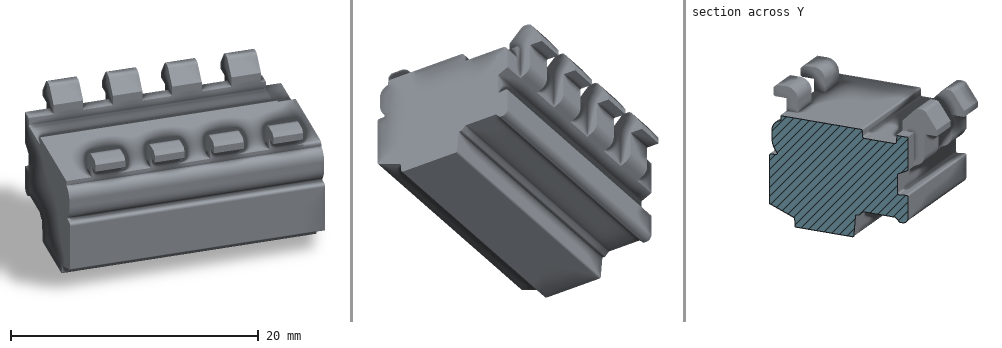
import cadquery as cq
import math

length = 21.5
height = 11.5
body_top = 9.41
end_cap_length = 1.5

pair_count = 4
pair_pitch = 5.0
pair_width = 2.5
first_pair_y = 2.1

right_face_x = 12.5
top_right_x = 11.46
groove_left_x = 1.03
groove_left_foot_x = 1.08
groove_right_x = 4.1
groove_floor_z = 8.68
groove_round = 0.15
waist_x = 0.95
upper_lip_z = 6.52
upper_lip_inner_z = 6.07
lower_lip_z = 4.42
lower_lip_inner_z = 4.31
lip_bottom_z = 1.94
lip_round = 0.5
lip_bottom_end_x = 0.76
underside_z = 2.31
rib_start_x = 4.07
rib_slope = underside_z - lip_bottom_z
foot_left_x = 4.7
foot_left_bottom_x = 4.87
foot_right_x = 10.22
foot_right_bottom_x = 10.2
foot_right_top_z = 0.78
ramp_top_z = 1.66
shoulder_z = 5.99
shoulder_round = 0.24
edge_round = 0.15
small_round = 0.08

bulge_center_x = 11.26
bulge_center_z = 8.0
bulge_radius = 1.0
bulge_flat_end_z = 7.3
bulge_lower_radius = 1.64
bulge_end_z = 6.15

cap_floor_z = 8.62
cap_lip_round = 0.5
cap_step_round = 0.4
cap_right_round = 0.22

catch_tip_x = -2.04
catch_tip_z = 9.93
crown_left_x = -0.92
crown_right_x = -0.19
crown_round = 0.47
catch_back_z = 10.28
stem_x = -0.94
stem_round = 0.94

hook_left_x = 10.45
hook_thickness = top_right_x - hook_left_x
hook_tip_x = 12.66
hook_tip_chamfer = 0.28
hook_tip_lower_chamfer = 0.12


def rounded_outline(corners):
    """Closed XZ outline through (x, z, radius) corners, each rounded by a tangent arc."""
    outline = None
    for index, (x, z, radius) in enumerate(corners):
        before = corners[index - 1]
        after = corners[(index + 1) % len(corners)]
        corner = cq.Vector(x, z, 0)
        to_before = (cq.Vector(before[0], before[1], 0) - corner).normalized()
        to_after = (cq.Vector(after[0], after[1], 0) - corner).normalized()
        half_angle = to_before.getAngle(to_after) / 2
        setback = radius / math.tan(half_angle)
        start = corner + to_before * setback
        end = corner + to_after * setback
        sagitta_gap = radius / math.sin(half_angle) - radius
        middle = corner + (to_before + to_after).normalized() * sagitta_gap
        if outline is None:
            outline = cq.Workplane("XZ").moveTo(start.x, start.y)
        else:
            outline = outline.lineTo(start.x, start.y)
        if radius > 0:
            outline = outline.threePointArc((middle.x, middle.y), (end.x, end.y))
    return outline.close()


def extrude_along_y(outline, start_y, depth):
    """Extrude an XZ outline toward +Y, starting at start_y."""
    return outline.extrude(-depth).translate((0, start_y, 0))


def lower_corners(upper_lip_round, top_right_round):
    """Corners shared by body and end cap, from the upper lip round to the top right."""
    return [
        (0, upper_lip_z, upper_lip_round),
        (waist_x, upper_lip_inner_z, edge_round),
        (waist_x, lower_lip_inner_z, edge_round),
        (0, lower_lip_z, edge_round),
        (0, lip_bottom_z, lip_round),
        (lip_bottom_end_x, lip_bottom_z, small_round),
        (lip_bottom_end_x + rib_slope, underside_z, edge_round),
        (rib_start_x, underside_z, small_round),
        (rib_start_x + rib_slope, lip_bottom_z, small_round),
        (foot_left_x, lip_bottom_z, 0),
        (foot_left_bottom_x, 0, edge_round),
        (foot_right_bottom_x, 0, edge_round),
        (foot_right_x, foot_right_top_z, edge_round),
        (right_face_x, ramp_top_z, edge_round),
        (right_face_x, shoulder_z, shoulder_round),
        (top_right_x, shoulder_z, 0),
        (top_right_x, body_top, top_right_round),
    ]


def make_body():
    groove = [
        (groove_right_x, body_top, groove_round),
        (groove_right_x, groove_floor_z, groove_round),
        (groove_left_foot_x, groove_floor_z, groove_round),
        (groove_left_x, body_top, 0),
        (0, body_top, 0),
    ]
    outline = rounded_outline(lower_corners(0, 0) + groove)
    return extrude_along_y(outline, 0, length - end_cap_length)


def make_end_cap():
    """The back end has no raised lip beside the groove and larger edge rounds."""
    step = [
        (groove_right_x, body_top, cap_step_round),
        (groove_right_x, cap_floor_z, 0),
        (0, cap_floor_z, cap_lip_round),
    ]
    outline = rounded_outline(lower_corners(small_round, cap_right_round) + step)
    return extrude_along_y(outline, length - end_cap_length, end_cap_length)


def make_bulge():
    right_x = bulge_center_x + bulge_radius
    diagonal = bulge_radius * math.sqrt(0.5)
    lower_center_x = right_x - bulge_lower_radius
    drop_angle = math.asin((bulge_flat_end_z - bulge_end_z) / bulge_lower_radius)

    def lower_arc_point(angle):
        x = lower_center_x + bulge_lower_radius * math.cos(angle)
        z = bulge_flat_end_z - bulge_lower_radius * math.sin(angle)
        return (x, z)

    lower_end = lower_arc_point(drop_angle)
    notch_middle = (lower_end[0] + small_round / 4, shoulder_z + small_round / 2)
    notch_end = (lower_end[0] + small_round, shoulder_z)
    outline = (
        cq.Workplane("XZ")
        .moveTo(bulge_center_x, bulge_center_z + bulge_radius)
        .threePointArc(
            (bulge_center_x + diagonal, bulge_center_z + diagonal),
            (right_x, bulge_center_z),
        )
        .lineTo(right_x, bulge_flat_end_z)
        .threePointArc(lower_arc_point(drop_angle / 2), lower_end)
        .threePointArc(notch_middle, notch_end)
        .lineTo(bulge_center_x, shoulder_z)
        .close()
    )
    return extrude_along_y(outline, 0, length)


def make_catch(start_y):
    head_outline = rounded_outline([
        (catch_tip_x, body_top, 0),
        (catch_tip_x, catch_tip_z, 0),
        (crown_left_x, height, crown_round),
        (crown_right_x, height, crown_round),
        (groove_left_x, catch_back_z, 0),
        (groove_left_x, body_top, 0),
    ])
    head = extrude_along_y(head_outline, start_y, pair_width)
    lip_slope = (upper_lip_z - upper_lip_inner_z) / waist_x
    stem_foot_z = upper_lip_z - lip_slope * stem_x
    overlap_x = groove_left_x / 2
    stem_outline = rounded_outline([
        (stem_x, body_top, 0),
        (stem_x, stem_foot_z, stem_round),
        (overlap_x, upper_lip_z - lip_slope * overlap_x, 0),
        (overlap_x, body_top, 0),
    ])
    return head.union(extrude_along_y(stem_outline, start_y, pair_width))


def make_hook(start_y):
    underside = height - hook_thickness
    diagonal = hook_thickness * math.sqrt(0.5)
    outline = (
        cq.Workplane("XZ")
        .moveTo(hook_left_x, body_top)
        .lineTo(hook_left_x, underside)
        .threePointArc((top_right_x - diagonal, underside + diagonal), (top_right_x, height))
        .lineTo(hook_tip_x - hook_tip_chamfer, height)
        .lineTo(hook_tip_x, height - hook_tip_chamfer)
        .lineTo(hook_tip_x, underside + hook_tip_lower_chamfer)
        .lineTo(hook_tip_x - hook_tip_lower_chamfer, underside)
        .lineTo(top_right_x, underside)
        .lineTo(top_right_x, body_top)
        .close()
    )
    return extrude_along_y(outline, start_y, pair_width)


result = make_body().union(make_end_cap()).union(make_bulge())
for pair in range(pair_count):
    pair_y = first_pair_y + pair * pair_pitch
    result = result.union(make_catch(pair_y)).union(make_hook(pair_y))